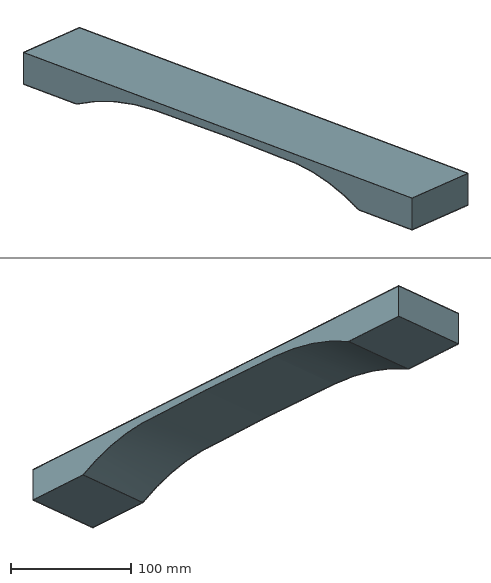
import cadquery as cq

length = 440.0
width = 69.0
height = 29.0

foot_length = 60.5
shoulder_inset = 149.5
shoulder_height = 21.0
crown_x = 13.0
crown_height = 22.0
left_mid_x = -119.5
left_mid_height = 14.5
right_mid_x = 119.2
right_mid_height = 16.5

half_length = length / 2
foot_end = half_length - foot_length
shoulder_x = half_length - shoulder_inset

profile = (
    cq.Workplane("XZ", origin=(0, width / 2, 0))
    .moveTo(-half_length, 0)
    .lineTo(-foot_end, 0)
    .threePointArc((left_mid_x, left_mid_height), (-shoulder_x, shoulder_height))
    .lineTo(crown_x, crown_height)
    .lineTo(shoulder_x, shoulder_height)
    .threePointArc((right_mid_x, right_mid_height), (foot_end, 0))
    .lineTo(half_length, 0)
    .lineTo(half_length, height)
    .lineTo(-half_length, height)
    .close()
)

result = profile.extrude(width)